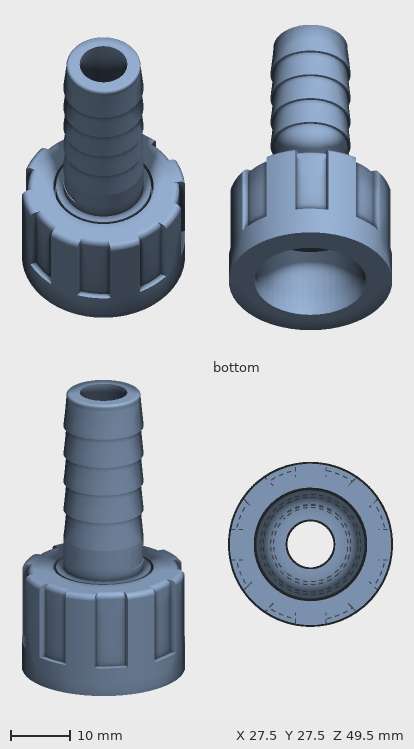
import cadquery as cq

TOTAL_HEIGHT = 49.5
NUT_RADIUS = 27.5 / 2

NUT_HEIGHT = 18.0
BAND_HEIGHT = 5.0
GRIP_DEPTH = 1.0
EDGE_ROUND = 1.0
RIB_COUNT = 8
RIB_WIDTH = 5.1
RIB_BAR_LENGTH = 29.7
TOP_WALL = 2.95
NECK_HOLE_DIAMETER = 16.9
NUT_BORE_DIAMETER = 18.85

HOSE_BORE_DIAMETER = 8.0
FLANGE_DIAMETER = 18.5
FLANGE_THICKNESS = 2.0
COLLAR_DIAMETER = 16.0
SHANK_DIAMETER = 13.5
SHANK_TOP = 23.45
BARB_ROOT_DIAMETER = 12.5
BARB_COUNT = 5
BARB_PITCH = 5.0
TOP_BARB_LAND = 0.15
TIP_LENGTH = 1.0
TIP_ROUND = 0.5

PANEL_WIDTH = 6.85
PANEL_HEIGHT = 2.8
PANEL_CORNER = 0.4
PANEL_DEPTH = 0.15
PANEL_CENTER_Z = 20.8

SEAT_Z = NUT_HEIGHT - TOP_WALL


def cylinder(diameter, bottom, top):
    """Upright cylinder on the Z axis."""
    return cq.Workplane("XY").workplane(offset=bottom).circle(diameter / 2).extrude(top - bottom)


def rounded_drum(radius):
    """Nut-high drum with a rounded top edge."""
    return cylinder(2 * radius, 0, NUT_HEIGHT).faces(">Z").edges().fillet(EDGE_ROUND)


def make_grip_ribs():
    """Ribs with parallel sides; each bar across the axis makes two opposite ribs."""
    bar = cq.Workplane("XY").box(
        RIB_BAR_LENGTH, RIB_WIDTH, NUT_HEIGHT, centered=(True, True, False)
    )
    bars = bar
    for index in range(1, RIB_COUNT // 2):
        bars = bars.union(bar.rotate((0, 0, 0), (0, 0, 1), index * 360 / RIB_COUNT))
    return bars.intersect(rounded_drum(NUT_RADIUS))


def make_nut():
    core = rounded_drum(NUT_RADIUS - GRIP_DEPTH)
    band = cylinder(2 * NUT_RADIUS, 0, BAND_HEIGHT)
    nut = core.union(band).union(make_grip_ribs())
    nut = nut.cut(cylinder(NUT_BORE_DIAMETER, 0, SEAT_Z))
    return nut.cut(cylinder(NECK_HOLE_DIAMETER, SEAT_Z, NUT_HEIGHT))


def make_label_panel():
    """Curved slab that leaves a recess of even depth in the shank."""
    block = (
        cq.Workplane("XZ")
        .center(0, PANEL_CENTER_Z)
        .rect(PANEL_WIDTH, PANEL_HEIGHT)
        .extrude(SHANK_DIAMETER)
        .edges("|Y")
        .fillet(PANEL_CORNER)
    )
    return block.cut(cylinder(SHANK_DIAMETER - 2 * PANEL_DEPTH, 0, TOTAL_HEIGHT))


def make_hose_tail():
    flange_radius = FLANGE_DIAMETER / 2
    collar_radius = COLLAR_DIAMETER / 2
    shank_radius = SHANK_DIAMETER / 2
    root_radius = BARB_ROOT_DIAMETER / 2
    flange_bottom = SEAT_Z - FLANGE_THICKNESS
    points = [
        (0, flange_bottom),
        (flange_radius, flange_bottom),
        (flange_radius, SEAT_Z),
        (collar_radius, SEAT_Z),
        (collar_radius, NUT_HEIGHT),
        (shank_radius, NUT_HEIGHT),
    ]
    for index in range(BARB_COUNT - 1):
        foot = SHANK_TOP + index * BARB_PITCH
        points += [(shank_radius, foot), (root_radius, foot + BARB_PITCH)]
    top_foot = SHANK_TOP + (BARB_COUNT - 1) * BARB_PITCH
    points += [
        (shank_radius, top_foot),
        (shank_radius, top_foot + TOP_BARB_LAND),
        (root_radius, TOTAL_HEIGHT - TIP_LENGTH),
        (root_radius, TOTAL_HEIGHT),
        (0, TOTAL_HEIGHT),
    ]

    tail = cq.Workplane("XZ").polyline(points).close().revolve(360, (0, 0), (0, 1))
    tail = tail.faces(">Z").edges().fillet(TIP_ROUND)
    tail = tail.cut(cylinder(HOSE_BORE_DIAMETER, 0, TOTAL_HEIGHT))
    return tail.cut(make_label_panel())


nut = make_nut()
hose_tail = make_hose_tail()

result = cq.Compound.makeCompound([nut.val(), hose_tail.val()])